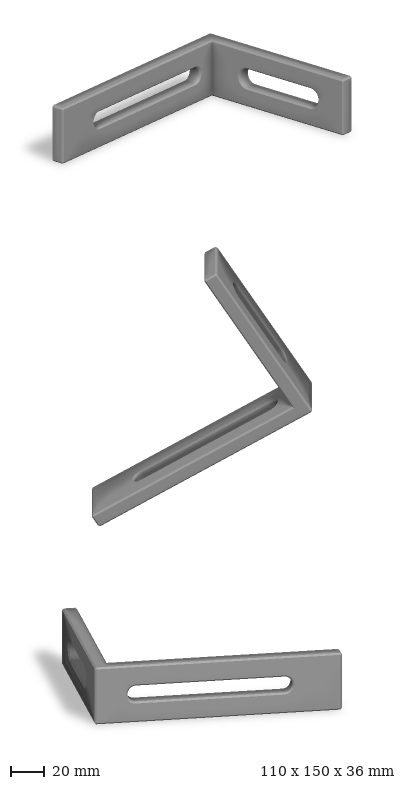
import cadquery as cq

long_leg = 150.0
short_leg = 110.0
height = 36.0
thickness = 9.0
edge_chamfer = 1.0

short_leg_slot_length = 60.0
short_leg_slot_width = 12.0
short_leg_slot_centre = 60.0
long_leg_slot_length = 100.0
long_leg_slot_width = 10.0
long_leg_slot_centre = 70.0


def make_body():
    """L-shaped bar with every edge chamfered except the inner corner."""
    body = (
        cq.Workplane("XY")
        .polyline([
            (0, 0),
            (short_leg, 0),
            (short_leg, -thickness),
            (thickness, -thickness),
            (thickness, -long_leg),
            (0, -long_leg),
        ])
        .close()
        .extrude(height / 2, both=True)
    )
    inner_corner = cq.Vector(thickness, -thickness, 0)
    outer_edges = body.edges().filter(
        lambda edge: (edge.Center() - inner_corner).Length > edge_chamfer
    )
    return outer_edges.chamfer(edge_chamfer)


def make_slot_cutter(plane, origin, length, width):
    """Slot through one leg, flared at both faces to chamfer its rims."""
    flared_length = length + 2 * edge_chamfer
    flared_width = width + 2 * edge_chamfer
    outer_face = cq.Workplane(plane, origin=origin)
    inner_face = outer_face.workplane(offset=thickness)
    straight_slot = outer_face.slot2D(length, width).extrude(thickness)
    outer_flare = outer_face.slot2D(flared_length, flared_width).extrude(edge_chamfer, taper=45)
    inner_flare = inner_face.slot2D(flared_length, flared_width).extrude(-edge_chamfer, taper=45)
    return straight_slot.union(outer_flare).union(inner_flare)


short_leg_slot = make_slot_cutter(
    "XZ", (short_leg_slot_centre, 0, 0), short_leg_slot_length, short_leg_slot_width
)
long_leg_slot = make_slot_cutter(
    "YZ", (0, -long_leg_slot_centre, 0), long_leg_slot_length, long_leg_slot_width
)

result = make_body().cut(short_leg_slot).cut(long_leg_slot)